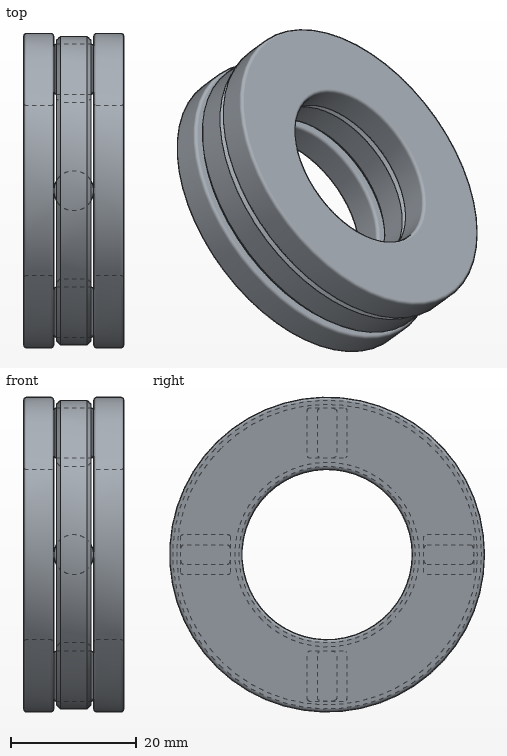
import cadquery as cq

washer_diameter = 50.0
washer_bore = 27.0
total_width = 15.9
washer_fillet = 0.5

roller_diameter = 6.35
roller_length = 8.0
roller_end_round = 0.5
roller_count = 4
roller_center_radius = 19.3

cage_diameter = 49.0
cage_bore = 28.0
cage_width = 5.55
cage_chamfer = 0.65

washer_width = (total_width - roller_diameter) / 2


def make_ring(start_x, width, outer_diameter, bore):
    """Plain ring around the X axis, from start_x to start_x + width."""
    return (
        cq.Workplane("YZ", origin=(start_x, 0, 0))
        .circle(outer_diameter / 2)
        .circle(bore / 2)
        .extrude(width)
    )


def make_washer(start_x):
    """Washer with all its rims rounded."""
    washer = make_ring(start_x, washer_width, washer_diameter, washer_bore)
    return washer.edges("%CIRCLE").fillet(washer_fillet)


def make_roller(angle):
    """Round-ended roller lying along the radius at this angle about the X axis."""
    inner_end = roller_center_radius - roller_length / 2
    return (
        cq.Workplane("XY", origin=(0, 0, inner_end))
        .circle(roller_diameter / 2)
        .extrude(roller_length)
        .edges("%CIRCLE")
        .fillet(roller_end_round)
        .rotate((0, 0, 0), (1, 0, 0), angle)
    )


def make_cage(rollers):
    """Chamfered ring with a closely fitting pocket for each roller."""
    cage = make_ring(-cage_width / 2, cage_width, cage_diameter, cage_bore)
    cage = cage.edges("%CIRCLE").chamfer(cage_chamfer)
    for roller in rollers:
        cage = cage.cut(roller)
    return cage


left_washer = make_washer(-total_width / 2)
right_washer = make_washer(roller_diameter / 2)
rollers = [make_roller(i * 360 / roller_count) for i in range(roller_count)]
cage = make_cage(rollers)

result = cq.Compound.makeCompound(
    [left_washer.val(), right_washer.val(), cage.val(), *[roller.val() for roller in rollers]]
)